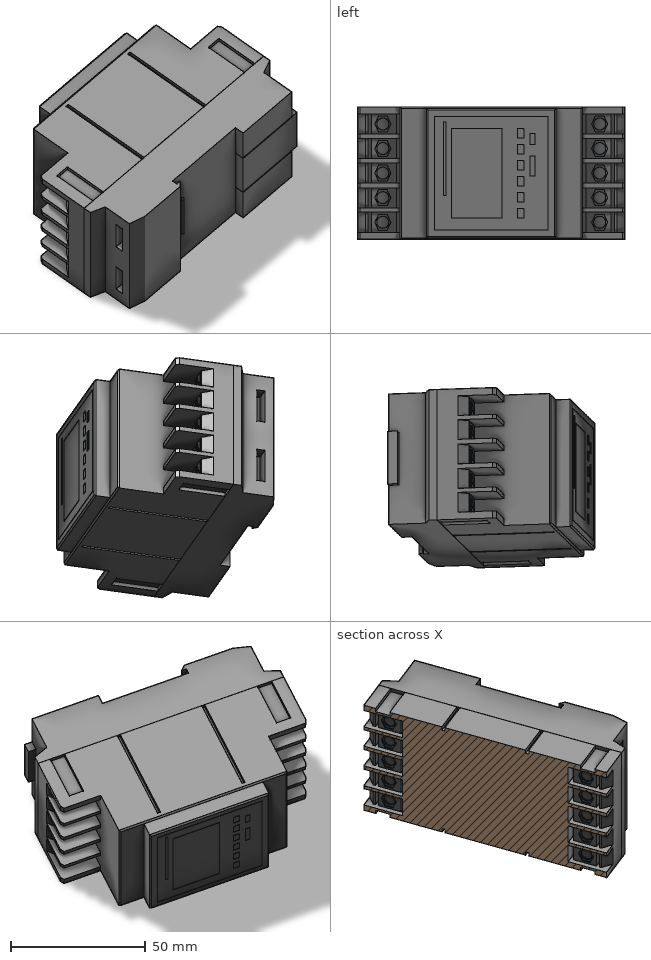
import cadquery as cq


total_depth = 65.7
total_length = 99.5
total_height = 49.5
half_length = total_length / 2
half_height = total_height / 2

cover_front_x = 6.0
terminal_front_x = 23.8
split_x = 46.3

cover_front_length = 68.1
edge_chamfer = 0.6
half_front_length = cover_front_length / 2
fin_tip_chamfer_x = 1.4
fin_tip_chamfer_y = 0.9

bay_height = 7.5
bay_centres_z = (-18.3, -9.3, 0, 9.3, 18.3)
ramp_end_x = 38.3
terminal_top_x = 34.6
ramp_top_y = 46.8
sill_inner_y = 45.9
terminal_outer_y = 44.7
terminal_inner_y = 35.3
bay_groove_depth = 3.0

screw_y = 40.4
screw_pitch = 9.2
hex_size = 6.0
hex_flat = 3.2
hex_depth = 0.5
screw_hole_diameter = 4.5
screw_hole_depth = 1.0

side_recess_depth = 1.5
window_front_x = 28.2
window_width = 5.8
window_y = 42.0
groove_front_x = 8.1
groove_width = 1.2
groove_y = 17.1

flange_end_x = 49.4
taper_end_x = 51.6
base_half_length = 44.0
foot_chamfer_x = 63.8
foot_chamfer_y = -37.3

rail_floor_x = 61.8
rail_top_y = 17.0
rail_bottom_y = -17.8
hook_x = 63.9
hook_height = 1.9

end_slot_front_x = 57.1
end_slot_width = 3.1
end_slot_height = 12.9
end_slot_z = 12.3
end_slot_depth = 6.0

panel_length = 48.3
panel_height = 48.3
plate_length = 42.3
plate_height = 42.3
plate_thickness = 1.0
plate_setback = 0.1

mark_depth = 0.1
bar_area = (16.9, 17.8), (-8.4, 19.0)
screen_area = (-4.1, 14.8), (-16.7, 16.7)
small_label_area = (-16.3, -14.5), (10.6, 14.8)
large_label_area = (-16.3, -14.5), (-1.1, 6.5)
button_count = 6
button_pitch = 6.0
button_y_range = (-12.1, -9.8)
button_height = 3.6
lowest_button_z = -16.7
button_corner_radius = 0.4

latch_end_y = 47.1
latch_thickness = 3.7
latch_height = 19.9
pin_x = 62.1
pin_y = -12.6
pin_radius = 0.6
pin_length = 19.9


def box(x_range, y_range, z_range):
    """Box between the given limits along each axis."""
    (x0, x1), (y0, y1), (z0, z1) = x_range, y_range, z_range
    return cq.Workplane("XY").box(x1 - x0, y1 - y0, z1 - z0, centered=False).translate((x0, y0, z0))


def prism(points, height, centre_z=0):
    """Outline in the XY plane, extruded to the height about centre_z."""
    return cq.Workplane("XY").workplane(offset=centre_z - height / 2).polyline(points).close().extrude(height)


def both_ends(shape):
    """The shape together with its mirror image across the XZ plane."""
    return shape.union(shape.mirror("XZ"))


def front_block(x_range, length, height):
    """Centred box with its front edges chamfered."""
    block = box(x_range, (-length / 2, length / 2), (-height / 2, height / 2))
    return block.faces("<X").chamfer(edge_chamfer)


def terminal_bays():
    """Open bays between the fins: a lead-in ramp, a sill, and a terminal between two grooves."""
    groove_floor_x = terminal_top_x + bay_groove_depth
    outline = [
        (terminal_front_x, half_front_length),
        (terminal_front_x, half_length),
        (ramp_end_x, half_length),
        (terminal_top_x, ramp_top_y),
        (terminal_top_x, sill_inner_y),
        (groove_floor_x, sill_inner_y),
        (groove_floor_x, terminal_outer_y),
        (terminal_top_x, terminal_outer_y),
        (terminal_top_x, terminal_inner_y),
        (groove_floor_x, terminal_inner_y),
        (groove_floor_x, half_front_length),
    ]
    bays = cq.Workplane("XY")
    for centre_z in bay_centres_z:
        bays = bays.add(prism(outline, bay_height, centre_z))
    return both_ends(bays.combine())


def screw_sockets():
    """Hexagonal recess with a deeper round hole, one in each terminal."""
    half_hex = hex_size / 2
    half_flat = hex_flat / 2
    hex_points = [
        (half_hex, 0),
        (half_flat, half_hex),
        (-half_flat, half_hex),
        (-half_hex, 0),
        (-half_flat, -half_hex),
        (half_flat, -half_hex),
    ]
    middle = (len(bay_centres_z) - 1) / 2
    centres = [(screw_y, (i - middle) * screw_pitch) for i in range(len(bay_centres_z))]
    terminal_top = cq.Workplane("YZ").workplane(offset=terminal_top_x).pushPoints(centres)
    holes = terminal_top.circle(screw_hole_diameter / 2).extrude(screw_hole_depth)
    for y, z in centres:
        plane = cq.Workplane("YZ", origin=(terminal_top_x, y, z))
        holes = holes.union(plane.polyline(hex_points).close().extrude(hex_depth))
    return both_ends(holes)


def side_recesses():
    """Windows and narrow grooves in the top and bottom, open at the face that meets the base."""
    recesses = cq.Workplane("XY")
    z_range = (half_height - side_recess_depth, half_height)
    for front_x, centre_y, width in (
        (window_front_x, window_y, window_width),
        (groove_front_x, groove_y, groove_width),
    ):
        y_range = (centre_y - width / 2, centre_y + width / 2)
        recesses = recesses.add(box((front_x, split_x), y_range, z_range))
    upper = both_ends(recesses.combine())
    return upper.union(upper.mirror("XY"))


def make_cover():
    chamfer_x = terminal_front_x + fin_tip_chamfer_x
    chamfer_y = half_length - fin_tip_chamfer_y
    terminal_block = prism(
        [
            (terminal_front_x, -chamfer_y),
            (terminal_front_x, chamfer_y),
            (chamfer_x, half_length),
            (split_x, half_length),
            (split_x, -half_length),
            (chamfer_x, -half_length),
        ],
        total_height,
    )
    body = front_block((cover_front_x, split_x), cover_front_length, total_height).union(terminal_block)
    return body.cut(terminal_bays()).cut(screw_sockets()).cut(side_recesses())


def make_base():
    hook_tip_y = rail_bottom_y + hook_height
    hook_back_y = hook_tip_y - (total_depth - hook_x)
    body = prism(
        [
            (split_x, half_length),
            (flange_end_x, half_length),
            (taper_end_x, base_half_length),
            (total_depth, base_half_length),
            (total_depth, rail_top_y),
            (rail_floor_x, rail_top_y),
            (rail_floor_x, rail_bottom_y),
            (hook_x, rail_bottom_y),
            (hook_x, hook_tip_y),
            (total_depth, hook_back_y),
            (total_depth, foot_chamfer_y),
            (foot_chamfer_x, -base_half_length),
            (taper_end_x, -base_half_length),
            (flange_end_x, -half_length),
            (split_x, -half_length),
        ],
        total_height,
    )
    for centre_z in (-end_slot_z, end_slot_z):
        body = body.cut(
            box(
                (end_slot_front_x, end_slot_front_x + end_slot_width),
                (-base_half_length, -base_half_length + end_slot_depth),
                (centre_z - end_slot_height / 2, centre_z + end_slot_height / 2),
            )
        )
    channel = box(
        (rail_floor_x, total_depth),
        (rail_top_y, base_half_length),
        (-latch_height / 2, latch_height / 2),
    )
    return body.cut(channel).cut(make_pin())


def make_panel():
    window = box(
        (0, plate_setback + plate_thickness),
        (-plate_length / 2, plate_length / 2),
        (-plate_height / 2, plate_height / 2),
    )
    return front_block((0, cover_front_x), panel_length, panel_height).cut(window)


def make_plate():
    """Face plate with shallow recesses for the bar, the screen, the two labels and the buttons."""
    plate = box(
        (plate_setback, plate_setback + plate_thickness),
        (-plate_length / 2, plate_length / 2),
        (-plate_height / 2, plate_height / 2),
    )
    mark_x = (plate_setback, plate_setback + mark_depth)
    for y_range, z_range in (bar_area, screen_area, small_label_area, large_label_area):
        plate = plate.cut(box(mark_x, y_range, z_range))
    for i in range(button_count):
        bottom_z = lowest_button_z + i * button_pitch
        button = box(mark_x, button_y_range, (bottom_z, bottom_z + button_height))
        plate = plate.cut(button.edges("|X and >Z").fillet(button_corner_radius))
    return plate


def make_latch():
    return box(
        (rail_floor_x, rail_floor_x + latch_thickness),
        (rail_top_y, latch_end_y),
        (-latch_height / 2, latch_height / 2),
    )


def make_pin():
    pin_plane = cq.Workplane("XY", origin=(pin_x, pin_y, -pin_length / 2))
    return pin_plane.circle(pin_radius).extrude(pin_length)


cover = make_cover()
base = make_base()
panel = make_panel()
plate = make_plate()
latch = make_latch()
pin = make_pin()

result = cq.Compound.makeCompound(
    [cover.val(), base.val(), panel.val(), plate.val(), latch.val(), pin.val()]
)